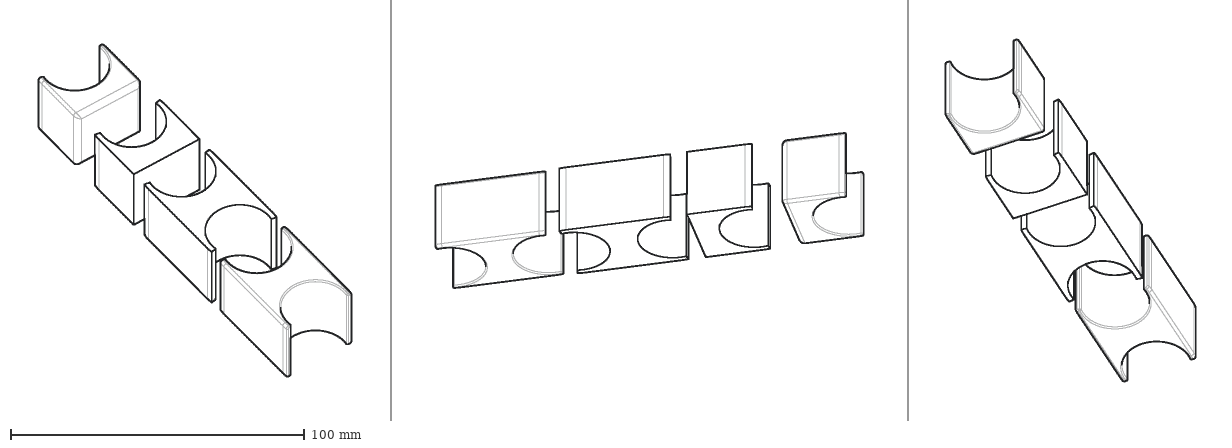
import cadquery as cq
import math

height = 25.4
bore_radius = 11.906
wall = 2.0
grip_angle = 10.0

back_thickness = 8.4
web_thickness = 10.3

back_fillet = 2.0
rim_fillet = 1.0
mouth_fillet = 0.5

rounded_single_x = 0.0
plain_single_x = 32.95
plain_double_x = 61.6
rounded_double_x = 105.23

outer_radius = bore_radius + wall
single_back_x = bore_radius + back_thickness
axis_spacing = 2 * bore_radius + web_thickness
tip_angle = 90 + grip_angle
arm_middle_angle = 90 + grip_angle / 2

outer_tip_x = outer_radius * math.cos(math.radians(tip_angle))
inner_tip_x = bore_radius * math.cos(math.radians(tip_angle))


def on_circle(radius, degrees):
    angle = math.radians(degrees)
    return (radius * math.cos(angle), radius * math.sin(angle))


def clip_body(back_x):
    """Block with a bore on the Z axis, open to -X, and a flat back at back_x."""
    return (
        cq.Workplane("XY")
        .moveTo(back_x, outer_radius)
        .lineTo(0, outer_radius)
        .threePointArc(on_circle(outer_radius, arm_middle_angle), on_circle(outer_radius, tip_angle))
        .lineTo(*on_circle(bore_radius, tip_angle))
        .threePointArc((bore_radius, 0), on_circle(bore_radius, -tip_angle))
        .lineTo(*on_circle(outer_radius, -tip_angle))
        .threePointArc(on_circle(outer_radius, -arm_middle_angle), (0, -outer_radius))
        .lineTo(back_x, -outer_radius)
        .close()
        .extrude(height)
    )


def double_body():
    """Left half with its bore, joined to its mirror image midway between the bores."""
    middle_x = axis_spacing / 2
    half = clip_body(middle_x)
    return half.union(half.mirror("YZ", (middle_x, 0, 0))).clean()


def round_side_rims(clip):
    """Round the top and bottom edges of the sides; the rounding runs on along the arms."""
    top_and_bottom_edges = clip.faces(">Z or <Z").edges()
    return top_and_bottom_edges.edges("|X").edges(">Y or <Y").fillet(rim_fillet)


def mouth_edges(clip, axis_x, side):
    """Bore rims and upright arm tip edges of the mouth on axis_x; side is 1 if it opens to -X, else -1."""
    bore_middle = (axis_x + side * bore_radius, 0, height / 2)
    bore = clip.faces(cq.selectors.NearestToPointSelector(bore_middle))
    tip_region = cq.selectors.BoxSelector(
        (axis_x + side * outer_tip_x, -outer_radius, 0),
        (axis_x + side * inner_tip_x, outer_radius, height),
    )
    tips = clip.faces(tip_region)
    return bore.edges().vals() + tips.edges("|Z").vals()


def make_rounded_single_clip():
    clip = clip_body(single_back_x)
    clip = clip.faces(">X").edges().fillet(back_fillet)
    clip = round_side_rims(clip)
    return clip.newObject(mouth_edges(clip, 0, 1)).fillet(mouth_fillet)


def make_plain_single_clip():
    return clip_body(single_back_x)


def make_plain_double_clip():
    return double_body()


def make_rounded_double_clip():
    clip = round_side_rims(double_body())
    edges = mouth_edges(clip, 0, 1) + mouth_edges(clip, axis_spacing, -1)
    return clip.newObject(edges).fillet(mouth_fillet)


rounded_single_clip = make_rounded_single_clip().translate((rounded_single_x, 0, 0))
plain_single_clip = make_plain_single_clip().translate((plain_single_x, 0, 0))
plain_double_clip = make_plain_double_clip().translate((plain_double_x, 0, 0))
rounded_double_clip = make_rounded_double_clip().translate((rounded_double_x, 0, 0))

result = cq.Compound.makeCompound([
    rounded_single_clip.val(),
    plain_single_clip.val(),
    plain_double_clip.val(),
    rounded_double_clip.val(),
])